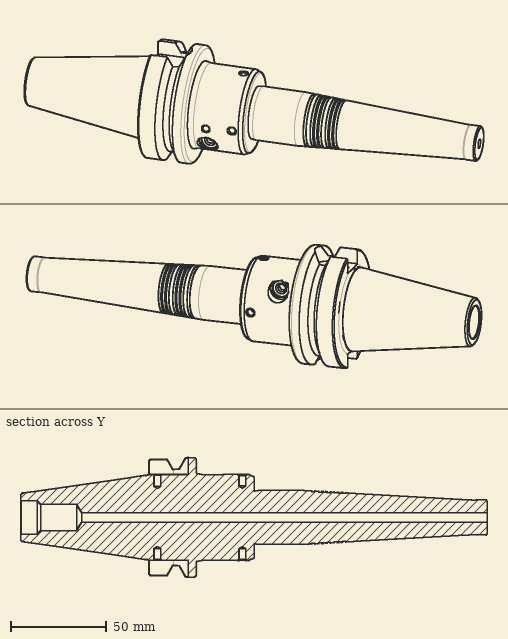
import cadquery as cq
import math

length = 245.5
taper_end = 65.5
flange_front = 67.5
flange_back = 92.5
collar_end = 95.5
body_end = 123.0
neck_cone_start = 148.2
tip_band_start = 239.5

taper_small_radius = 12.8
taper_slope = 7 / 48
taper_edge_length = 1.0
taper_edge_drop = 1.0
relief_radius = 22.0
flange_radius = 31.53
flange_chamfer = 0.7
flange_back_fillet = 1.5
collar_radius = 23.3
body_radius = 22.7
neck_radius = 14.35
neck_undercut = 0.37
neck_undercut_length = 2.5
tip_radius = 9.3
tip_chamfer = 0.7
tip_step = 0.12
tip_step_length = 0.5

relief_fillet = 1.5

v_groove_start = 77.0
v_groove_end = 86.6
v_floor_start = 80.0
v_floor_end = 83.5
v_floor_radius = 26.5

bevel_length = 2.2
bevel_drop = 1.0
body_end_fillet = 0.7

slot_width = 15.7
slot_floor = 22.5
slot_end = 88.0
floor_hole_x = 72.0
floor_hole_diameter = 4.5
floor_hole_core = 3.5
floor_hole_depth = 6.1

ring_width = 1.5
ring_depth = 0.37
ring_pitch = 2.2
single_ring_x = 153.1
ring_group_starts = (156.8, 165.0)
rings_per_group = 3

balance_x = 116.5
balance_count = 4
balance_diameter = 5.0
balance_core = 3.5
balance_depth = 6.1

screw_x = 102.3
screw_offset = 12.3
screw_bore_diameter = 11.0
screw_seat = 15.7
screw_step_diameter = 9.0
screw_step_depth = 1.5
socket_diameter = 6.0
socket_core = 4.2
socket_depth = 3.7

side_hole_offset = 1.0
side_hole_diameter = 4.7
side_hole_core = 3.5
side_hole_depth = 7.4

counterbore_radius = 8.5
mouth_chamfer = 0.37
counterbore_depth = 8.8
thread_radius = 6.9
thread_depth = 29.5
coolant_radius = 2.5
drill_half_angle = math.radians(59)

clearance = 1.2


def taper_radius(x):
    return taper_small_radius + taper_slope * x


def cone_radius(x):
    """Radius of the slender cone between the neck and the tip band."""
    share = (x - neck_cone_start) / (tip_band_start - neck_cone_start)
    return neck_radius + share * (tip_radius - neck_radius)


def make_body():
    relief_top = relief_radius + relief_fillet
    bevel_start = body_end - bevel_length - body_end_fillet
    bevel_radius = body_radius - bevel_drop
    neck_start = body_end + neck_undercut_length
    outline = (
        cq.Workplane("XY")
        .moveTo(0, 0)
        .lineTo(0, taper_radius(taper_edge_length) - taper_edge_drop)
        .lineTo(taper_edge_length, taper_radius(taper_edge_length))
        .lineTo(taper_end, taper_radius(taper_end))
        .lineTo(taper_end, relief_radius)
        .lineTo(flange_front - relief_fillet, relief_radius)
        .radiusArc((flange_front, relief_top), -relief_fillet)
        .lineTo(flange_front, flange_radius - flange_chamfer)
        .lineTo(flange_front + flange_chamfer, flange_radius)
        .lineTo(v_groove_start, flange_radius)
        .lineTo(v_floor_start, v_floor_radius)
        .lineTo(v_floor_end, v_floor_radius)
        .lineTo(v_groove_end, flange_radius)
        .lineTo(flange_back - flange_back_fillet, flange_radius)
        .radiusArc((flange_back, flange_radius - flange_back_fillet), flange_back_fillet)
        .lineTo(flange_back, collar_radius)
        .lineTo(collar_end, body_radius)
        .lineTo(bevel_start, body_radius)
        .lineTo(body_end - body_end_fillet, bevel_radius)
        .radiusArc((body_end, bevel_radius - body_end_fillet), body_end_fillet)
        .lineTo(body_end, neck_radius - neck_undercut)
        .lineTo(neck_start, neck_radius)
        .lineTo(neck_cone_start, neck_radius)
        .lineTo(tip_band_start - tip_step_length, tip_radius - tip_step)
        .lineTo(tip_band_start, tip_radius)
        .lineTo(length - tip_chamfer, tip_radius)
        .lineTo(length, tip_radius - tip_chamfer)
        .lineTo(length, 0)
        .close()
    )
    return outline.revolve(360, (0, 0, 0), (1, 0, 0))


def make_bore():
    cone_length = (thread_radius - coolant_radius) / math.tan(drill_half_angle)
    seat_end = counterbore_depth + counterbore_radius - thread_radius
    outline = (
        cq.Workplane("XY")
        .polyline([
            (0, 0),
            (0, counterbore_radius + mouth_chamfer),
            (mouth_chamfer, counterbore_radius),
            (counterbore_depth, counterbore_radius),
            (seat_end, thread_radius),
            (thread_depth, thread_radius),
            (thread_depth + cone_length, coolant_radius),
            (length, coolant_radius),
            (length, 0),
        ])
        .close()
    )
    return outline.revolve(360, (0, 0, 0), (1, 0, 0))


def make_slot():
    """Round-ended slot cutter above the +Z slot floor."""
    radius = slot_width / 2
    straight = slot_end - radius
    return (
        cq.Workplane("XY", origin=(0, 0, slot_floor))
        .moveTo(taper_end, -radius)
        .lineTo(straight, -radius)
        .threePointArc((slot_end, 0), (straight, radius))
        .lineTo(taper_end, radius)
        .close()
        .extrude(flange_radius)
    )


def drilled_hole(x, surface, mouth, core, depth):
    """Blind hole down from +Z with a bevelled mouth and a conical bottom."""
    bevel = (mouth - core) / 2
    point = core / 2 / math.tan(drill_half_angle)
    outline = (
        cq.Workplane("XZ", origin=(x, 0, 0))
        .polyline([
            (0, surface + clearance),
            (mouth / 2, surface + clearance),
            (mouth / 2, surface),
            (core / 2, surface - bevel),
            (core / 2, surface - depth),
            (0, surface - depth - point),
        ])
        .close()
    )
    return outline.revolve(360, (0, 0, 0), (0, 1, 0))


def make_ring(start):
    middle = start + ring_width / 2
    floor = cone_radius(middle) - ring_depth
    return (
        cq.Workplane("YZ", origin=(start, 0, 0))
        .circle(body_radius)
        .circle(floor)
        .extrude(ring_width)
    )


def z_cylinder(x, diameter, bottom, top):
    return (
        cq.Workplane("XY", origin=(x, 0, bottom))
        .circle(diameter / 2)
        .extrude(top - bottom)
    )


def screw_bore():
    """Bore down from +Z with a step and a drilled socket below its seat."""
    step_floor = screw_seat - screw_step_depth
    bore = z_cylinder(screw_x, screw_bore_diameter, screw_seat, flange_radius)
    step = z_cylinder(screw_x, screw_step_diameter, step_floor, screw_seat)
    socket = drilled_hole(screw_x, step_floor, socket_diameter, socket_core, socket_depth)
    return bore.union(step).union(socket)


def facing_front(shape, drop):
    """Turn a cutter from +Z to -Y and lower it below the axis."""
    return about_axis(shape, 90).translate((0, 0, -drop))


def about_axis(shape, angle):
    return shape.rotate((0, 0, 0), (1, 0, 0), angle)


result = make_body().cut(make_bore())

for angle in (0, 180):
    hole = drilled_hole(floor_hole_x, slot_floor, floor_hole_diameter, floor_hole_core, floor_hole_depth)
    result = result.cut(about_axis(make_slot(), angle)).cut(about_axis(hole, angle))

ring_starts = [single_ring_x]
for group_start in ring_group_starts:
    ring_starts += [group_start + i * ring_pitch for i in range(rings_per_group)]
for start in ring_starts:
    result = result.cut(make_ring(start))

for i in range(balance_count):
    hole = drilled_hole(balance_x, body_radius, balance_diameter, balance_core, balance_depth)
    result = result.cut(about_axis(hole, i * 360 / balance_count))

front_bore = facing_front(screw_bore(), screw_offset)
for angle in (0, 180):
    result = result.cut(about_axis(front_bore, angle))
side_hole = drilled_hole(screw_x, body_radius, side_hole_diameter, side_hole_core, side_hole_depth)
result = result.cut(facing_front(side_hole, side_hole_offset))